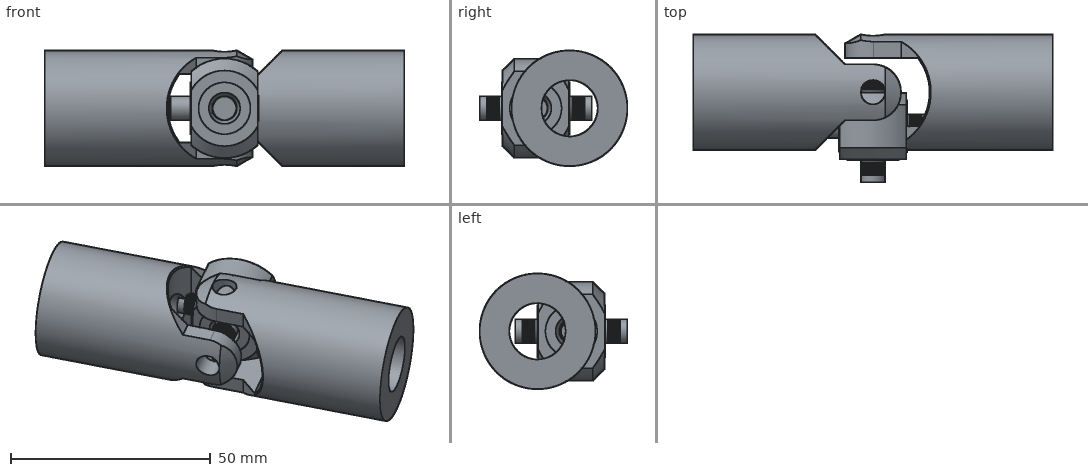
import cadquery as cq
import math


JOINT_LENGTH = 90.0
YOKE_DIAMETER = 29.0
BORE_DIAMETER = 14.0
EAR_WIDTH = 14.0
EAR_GAP = 17.1
FORK_FLOOR_RADIUS = 14.1
EAR_HOLE_DIAMETER = 6.0
EAR_CHAMFER_LENGTH = 4.0
EAR_CHAMFER_ANGLE = 30.0
YOKE_RADIUS = YOKE_DIAMETER / 2
EAR_RADIUS = EAR_WIDTH / 2

BLOCK_CENTER_Y = -8.5
BLOCK_WIDTH = 16.65
BLOCK_DIAMETER = 24.8
BLOCK_CHAMFER = 3.0
BOSS_DIAMETER = 13.0
BOSS_HEIGHT = 0.2
COUNTERSINK_DIAMETER = 7.8
COUNTERSINK_DEPTH = 2.7
BOSS_SPAN = BLOCK_WIDTH + 2 * BOSS_HEIGHT

PIN_DIAMETER = 6.0
LONG_PIN_LENGTH = 28.1
SHORT_PIN_LENGTH = 10.8
SHORT_PIN_CHAMFER = 0.45
LEFT_PIN_TIP_X = -13.9
KNURL_LENGTH = 3.15
KNURL_END_OFFSET = 1.8
KNURL_TEETH = 32
KNURL_DEPTH = 0.3
PIN_RADIUS = PIN_DIAMETER / 2
PIN_END = LONG_PIN_LENGTH / 2


def rod(diameter, length):
    """A cylinder along X, centred on the origin."""
    return cq.Workplane("YZ").circle(diameter / 2).extrude(length / 2, both=True)


def turn_to_y(body):
    """Turn a body lying along X so that it lies along Y."""
    return body.rotate((0, 0, 0), (0, 0, 1), 90)


def move_to_block(body):
    """Move a body from the origin to the centre of the cross block."""
    return body.translate((0, BLOCK_CENTER_Y, 0))


def make_yoke():
    """The -X yoke, with its ears on +Z and -Z."""
    tip_radius = YOKE_RADIUS - EAR_CHAMFER_LENGTH * math.tan(math.radians(EAR_CHAMFER_ANGLE))
    blank = (
        cq.Workplane("XY")
        .moveTo(-JOINT_LENGTH / 2, 0)
        .lineTo(-JOINT_LENGTH / 2, YOKE_RADIUS)
        .lineTo(EAR_RADIUS - EAR_CHAMFER_LENGTH, YOKE_RADIUS)
        .lineTo(EAR_RADIUS, tip_radius)
        .lineTo(EAR_RADIUS, 0)
        .close()
        .revolve(360, (0, 0, 0), (1, 0, 0))
    )
    ear_outline = (
        cq.Workplane("XY")
        .moveTo(-JOINT_LENGTH / 2, -YOKE_RADIUS)
        .lineTo(-YOKE_RADIUS, -YOKE_RADIUS)
        .lineTo(-EAR_RADIUS, -EAR_RADIUS)
        .lineTo(0, -EAR_RADIUS)
        .threePointArc((EAR_RADIUS, 0), (0, EAR_RADIUS))
        .lineTo(-EAR_RADIUS, EAR_RADIUS)
        .lineTo(-YOKE_RADIUS, YOKE_RADIUS)
        .lineTo(-JOINT_LENGTH / 2, YOKE_RADIUS)
        .close()
        .extrude(YOKE_RADIUS, both=True)
    )
    gap = cq.Workplane("XY").box(2 * YOKE_RADIUS, YOKE_DIAMETER, EAR_GAP)
    gap = gap.intersect(cq.Workplane("XZ").circle(FORK_FLOOR_RADIUS).extrude(YOKE_RADIUS, both=True))
    ear_holes = cq.Workplane("XY").circle(EAR_HOLE_DIAMETER / 2).extrude(YOKE_RADIUS, both=True)
    bore = rod(BORE_DIAMETER, JOINT_LENGTH)
    return blank.intersect(ear_outline).cut(gap).cut(ear_holes).cut(bore)


def make_opposite_yoke(yoke):
    """The +X yoke, with its ears on +Y and -Y; its lower ear is grooved for the short pin."""
    turned = yoke.rotate((0, 0, 0), (0, 0, 1), 180).rotate((0, 0, 0), (1, 0, 0), 90)
    return turned.cut(move_to_block(rod(PIN_DIAMETER, 2 * PIN_END)))


def make_knurl_cutter():
    """Ring with a toothed inside, cut from the +X end of a pin to leave its knurl."""
    half_tooth = math.pi / KNURL_TEETH
    profile = []
    for tooth in range(KNURL_TEETH):
        for radius, angle in (
            (PIN_RADIUS, 2 * tooth * half_tooth),
            (PIN_RADIUS - KNURL_DEPTH, (2 * tooth + 1) * half_tooth),
        ):
            profile.append((radius * math.cos(angle), radius * math.sin(angle)))
    knurl_start = PIN_END - KNURL_END_OFFSET - KNURL_LENGTH
    return (
        cq.Workplane("YZ", origin=(knurl_start, 0, 0))
        .circle(PIN_DIAMETER)
        .polyline(profile)
        .close()
        .extrude(KNURL_LENGTH)
    )


def make_long_pin():
    """Pin along Y, knurled at both ends."""
    knurl_cut = make_knurl_cutter()
    pin = rod(PIN_DIAMETER, LONG_PIN_LENGTH).cut(knurl_cut).cut(knurl_cut.mirror("YZ"))
    return move_to_block(turn_to_y(pin))


def make_short_pin(end_x):
    """Pin along X that ends at end_x: chamfered at its -X end, knurled near its +X end."""
    pin = cq.Workplane("YZ", origin=(PIN_END, 0, 0)).circle(PIN_RADIUS).extrude(-SHORT_PIN_LENGTH)
    pin = pin.faces("<X").chamfer(SHORT_PIN_CHAMFER)
    pin = pin.cut(make_knurl_cutter())
    return move_to_block(pin.translate((end_x - PIN_END, 0, 0)))


def make_pin_hole():
    """Cutter along X for one pin hole, countersunk at both ends."""
    mouth = BOSS_SPAN / 2
    return (
        cq.Workplane("XY")
        .moveTo(-mouth, 0)
        .lineTo(-mouth, COUNTERSINK_DIAMETER / 2)
        .lineTo(-mouth + COUNTERSINK_DEPTH, PIN_RADIUS)
        .lineTo(mouth - COUNTERSINK_DEPTH, PIN_RADIUS)
        .lineTo(mouth, COUNTERSINK_DIAMETER / 2)
        .lineTo(mouth, 0)
        .close()
        .revolve(360, (0, 0, 0), (1, 0, 0))
    )


def make_block(yokes):
    """Cross block, round about Y with two flats, pocketed where the yoke ears enter it."""
    flats = cq.Workplane("XY").box(BLOCK_WIDTH, BLOCK_WIDTH, BLOCK_DIAMETER)
    block = turn_to_y(rod(BLOCK_DIAMETER, BLOCK_WIDTH).edges().chamfer(BLOCK_CHAMFER)).intersect(flats)
    boss = rod(BOSS_DIAMETER, BOSS_SPAN)
    pin_hole = make_pin_hole()
    block = block.union(boss).union(turn_to_y(boss))
    block = move_to_block(block.cut(pin_hole).cut(turn_to_y(pin_hole)))
    for yoke in yokes:
        block = block.cut(yoke)
    return block


left_yoke = make_yoke()
right_yoke = make_opposite_yoke(left_yoke)
block = make_block([left_yoke, right_yoke])
long_pin = make_long_pin()
short_pins = [make_short_pin(end_x) for end_x in (PIN_END, LEFT_PIN_TIP_X + SHORT_PIN_LENGTH)]

bodies = [left_yoke, right_yoke, block, long_pin, *short_pins]
result = cq.Compound.makeCompound([body.solids().val() for body in bodies])